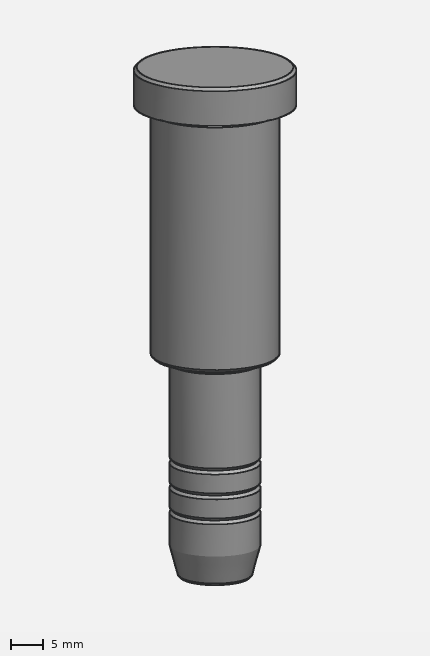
import cadquery as cq
import math

total_length = 81.0
sleeve_bottom = 35.0
head_height = 6.0
head_bottom = total_length - head_height

head_diameter = 25.0
sleeve_diameter = 19.85
shank_diameter = 14.0
neck_diameter = 13.05

edge_chamfer = 0.5
neck_height = 1.0
taper_height = 5.0
taper_angle = 15.0
tip_chamfer = 0.4

groove_depth = 0.5
lowest_groove = 10.6
groove_pitch = 4.0
groove_count = 3


def cylinder(diameter, bottom, top):
    return cq.Workplane("XY").workplane(offset=bottom).circle(diameter / 2).extrude(top - bottom)


def v_groove(diameter, center):
    """Ring with a triangular section, used to cut a groove into a cylinder."""
    radius = diameter / 2
    section = [
        (radius - groove_depth, center),
        (radius + groove_depth, center - 2 * groove_depth),
        (radius + groove_depth, center + 2 * groove_depth),
    ]
    return cq.Workplane("XZ").polyline(section).close().revolve(360, (0, 0, 0), (0, 1, 0))


def make_head():
    return cylinder(head_diameter, head_bottom, total_length).faces(">Z").chamfer(edge_chamfer)


def make_sleeve():
    sleeve = cylinder(sleeve_diameter, sleeve_bottom, head_bottom).faces("<Z").chamfer(edge_chamfer)
    return sleeve.cut(v_groove(sleeve_diameter, head_bottom - groove_depth))


def make_shank():
    """Neck, straight shank and tapered tip turned from one half outline."""
    shank_radius = shank_diameter / 2
    taper_slope = math.tan(math.radians(taper_angle))
    tip_radius = shank_radius - (taper_height - tip_chamfer) * taper_slope
    shank_top = sleeve_bottom - neck_height
    outline = [
        (0, 0),
        (tip_radius - tip_chamfer, 0),
        (tip_radius, tip_chamfer),
        (shank_radius, taper_height),
        (shank_radius, shank_top),
        (neck_diameter / 2, shank_top),
        (neck_diameter / 2, sleeve_bottom),
        (0, sleeve_bottom),
    ]
    shank = cq.Workplane("XZ").polyline(outline).close().revolve(360, (0, 0, 0), (0, 1, 0))
    for index in range(groove_count):
        shank = shank.cut(v_groove(shank_diameter, lowest_groove + index * groove_pitch))
    return shank


result = make_shank().union(make_sleeve()).union(make_head())